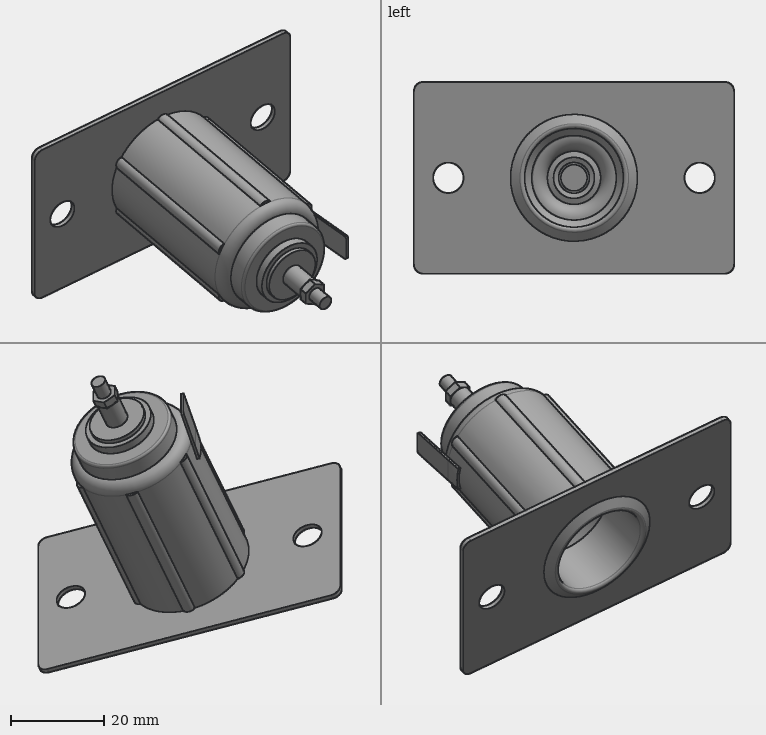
import cadquery as cq
import math


PLATE_WIDTH = 68.8
PLATE_HEIGHT = 41.2
PLATE_THICKNESS = 1.1
PLATE_FRONT_X = 1.45
PLATE_BACK_X = PLATE_FRONT_X + PLATE_THICKNESS
PLATE_CORNER_RADIUS = 2.05
SCREW_HOLE_RADIUS = 3.2
SCREW_HOLE_SPACING = 53.95

SHELL_RADIUS = 13.6
SHELL_LENGTH = 41.55
COLLAR_RADIUS = 11.15
SHELL_BACK_ROUND = SHELL_RADIUS - COLLAR_RADIUS
SHELL_STRAIGHT_END_X = SHELL_LENGTH - SHELL_BACK_ROUND

LIP_ROUND = 0.7
LIP_CONE_ANGLE = 33.0
BORE_RADIUS = 10.6
BORE_END_X = 13.15
TAPER_END_RADIUS = 9.1
TAPER_END_X = BORE_END_X + BORE_RADIUS - TAPER_END_RADIUS
STEP_INNER_RADIUS = 8.95
INNER_BORE_RADIUS = 5.7
BORE_ENTRY_ROUND = STEP_INNER_RADIUS - INNER_BORE_RADIUS
BORE_FLOOR_X = 38.5
RIDGE_RADIUS = 4.4
RIDGE_HEIGHT = 0.4
CONTACT_RADIUS = 3.3

RIB_COUNT = 6
RIB_PITCH = 360.0 / RIB_COUNT
RIB_RADIUS = 1.65
RIB_CENTRE_RADIUS = 12.6

COLLAR_END_X = 45.75
COLLAR_EDGE_ROUND = 0.55
LARGE_WASHER_RADIUS = 7.4
LARGE_WASHER_END_X = 47.7
SMALL_WASHER_RADIUS = 6.2
SMALL_WASHER_END_X = 48.65
STUD_RADIUS = 2.5
NUT_START_X = 54.8
NUT_END_X = 56.75
NUT_ACROSS_CORNERS = 5.7
TIP_RADIUS = 1.6
TERMINAL_END_X = 60.5
BUTTON_RADIUS = 2.8
BUTTON_HEIGHT = 0.35

TAB_THICKNESS = 0.55
TAB_WIDTH = 6.3
TAB_START_X = 34.55
TAB_BEND_X = 38.1
TAB_END_X = 48.6
TAB_TIP_RISE = 0.95
TAB_TIP_ROUND = 0.6


def make_plate():
    plate = (
        cq.Workplane("YZ", origin=(PLATE_FRONT_X, 0, 0))
        .rect(PLATE_WIDTH, PLATE_HEIGHT)
        .extrude(PLATE_THICKNESS)
        .edges("|X")
        .fillet(PLATE_CORNER_RADIUS)
    )
    openings = (
        cq.Workplane("YZ", origin=(PLATE_FRONT_X, 0, 0))
        .pushPoints([(-SCREW_HOLE_SPACING / 2, 0), (SCREW_HOLE_SPACING / 2, 0)])
        .circle(SCREW_HOLE_RADIUS)
        .pushPoints([(0, 0)])
        .circle(SHELL_RADIUS)
        .extrude(PLATE_THICKNESS)
    )
    return plate.cut(openings)


def quarter_arc_middle(centre_x, centre_r, radius, x_side, r_side):
    """Point halfway along a quarter arc, on the given sides of its centre."""
    offset = radius * math.sqrt(0.5)
    return (centre_x + x_side * offset, centre_r + r_side * offset)


def make_shell_body():
    """Revolved wall: points are (X, radius)."""
    back_round_middle = quarter_arc_middle(
        SHELL_STRAIGHT_END_X, COLLAR_RADIUS, SHELL_BACK_ROUND, 1, 1
    )
    bore_entry_middle = quarter_arc_middle(
        TAPER_END_X + BORE_ENTRY_ROUND, STEP_INNER_RADIUS, BORE_ENTRY_ROUND, -1, -1
    )
    lip_front = (0, BORE_RADIUS + LIP_ROUND)
    lip_angle = math.radians(LIP_CONE_ANGLE)
    lip_outer = (
        LIP_ROUND * (1 - math.cos(lip_angle)),
        BORE_RADIUS + LIP_ROUND * (1 + math.sin(lip_angle)),
    )
    return (
        cq.Workplane("XY")
        .moveTo(*lip_outer)
        .lineTo(PLATE_FRONT_X, SHELL_RADIUS)
        .lineTo(SHELL_STRAIGHT_END_X, SHELL_RADIUS)
        .threePointArc(back_round_middle, (SHELL_LENGTH, COLLAR_RADIUS))
        .lineTo(SHELL_LENGTH, CONTACT_RADIUS)
        .lineTo(BORE_FLOOR_X, CONTACT_RADIUS)
        .lineTo(BORE_FLOOR_X - RIDGE_HEIGHT, RIDGE_RADIUS)
        .lineTo(BORE_FLOOR_X, INNER_BORE_RADIUS)
        .lineTo(TAPER_END_X + BORE_ENTRY_ROUND, INNER_BORE_RADIUS)
        .threePointArc(bore_entry_middle, (TAPER_END_X, STEP_INNER_RADIUS))
        .lineTo(TAPER_END_X, TAPER_END_RADIUS)
        .lineTo(BORE_END_X, BORE_RADIUS)
        .lineTo(LIP_ROUND, BORE_RADIUS)
        .threePointArc(lip_front, lip_outer)
        .close()
        .revolve(360, (0, 0, 0), (1, 0, 0))
    )


def make_shell():
    shell = make_shell_body()
    for index in range(RIB_COUNT):
        rib = (
            cq.Workplane("YZ", origin=(PLATE_BACK_X, 0, 0))
            .center(0, RIB_CENTRE_RADIUS)
            .circle(RIB_RADIUS)
            .extrude(SHELL_STRAIGHT_END_X - PLATE_BACK_X)
            .rotate((0, 0, 0), (1, 0, 0), index * RIB_PITCH)
        )
        shell = shell.union(rib)
    return shell


def rod(start_x, end_x, radius):
    return cq.Workplane("YZ", origin=(start_x, 0, 0)).circle(radius).extrude(end_x - start_x)


def make_terminal():
    collar = rod(SHELL_LENGTH, COLLAR_END_X, COLLAR_RADIUS)
    terminal = collar.faces(">X").edges().fillet(COLLAR_EDGE_ROUND)
    nut = (
        cq.Workplane("YZ", origin=(NUT_START_X, 0, 0))
        .polygon(6, NUT_ACROSS_CORNERS)
        .extrude(NUT_END_X - NUT_START_X)
        .rotate((0, 0, 0), (1, 0, 0), 90)
    )
    sections = [
        rod(BORE_FLOOR_X - BUTTON_HEIGHT, BORE_FLOOR_X, BUTTON_RADIUS),
        rod(BORE_FLOOR_X, SHELL_LENGTH, CONTACT_RADIUS),
        rod(COLLAR_END_X, LARGE_WASHER_END_X, LARGE_WASHER_RADIUS),
        rod(LARGE_WASHER_END_X, SMALL_WASHER_END_X, SMALL_WASHER_RADIUS),
        rod(SMALL_WASHER_END_X, NUT_START_X, STUD_RADIUS),
        nut,
        rod(NUT_END_X, TERMINAL_END_X, TIP_RADIUS),
    ]
    for section in sections:
        terminal = terminal.union(section)
    return terminal


def tab_curved_section():
    """Strip section that hugs the shell, at the root of the tab."""
    half_width = TAB_WIDTH / 2
    outer_radius = SHELL_RADIUS + TAB_THICKNESS
    inner_edge_y = math.sqrt(SHELL_RADIUS**2 - half_width**2)
    outer_edge_y = math.sqrt(outer_radius**2 - half_width**2)
    return (
        cq.Workplane("YZ", origin=(TAB_START_X, 0, 0))
        .moveTo(inner_edge_y, -half_width)
        .threePointArc((SHELL_RADIUS, 0), (inner_edge_y, half_width))
        .lineTo(outer_edge_y, half_width)
        .threePointArc((outer_radius, 0), (outer_edge_y, -half_width))
        .close()
    )


def make_tab(shell):
    """Strip that flattens out from the shell, then tilts away from it."""
    outer_y = SHELL_RADIUS + TAB_THICKNESS
    flat_wire = (
        cq.Workplane("YZ", origin=(TAB_BEND_X, 0, 0))
        .center(SHELL_RADIUS + TAB_THICKNESS / 2, 0)
        .rect(TAB_THICKNESS, TAB_WIDTH)
        .val()
    )
    root = cq.Workplane(cq.Solid.makeLoft([tab_curved_section().val(), flat_wire], True))
    blade = (
        cq.Workplane("XY", origin=(0, 0, -TAB_WIDTH / 2))
        .moveTo(TAB_BEND_X, SHELL_RADIUS)
        .lineTo(TAB_END_X, SHELL_RADIUS + TAB_TIP_RISE)
        .lineTo(TAB_END_X, outer_y + TAB_TIP_RISE)
        .lineTo(TAB_BEND_X, outer_y)
        .close()
        .extrude(TAB_WIDTH)
        .faces(">X")
        .edges("|Y")
        .fillet(TAB_TIP_ROUND)
    )
    return root.union(blade).cut(shell)


plate = make_plate()
shell = make_shell()
terminal = make_terminal()
tab = make_tab(shell)

result = cq.Compound.makeCompound([
    *plate.solids().vals(),
    *shell.solids().vals(),
    *terminal.solids().vals(),
    *tab.solids().vals(),
])